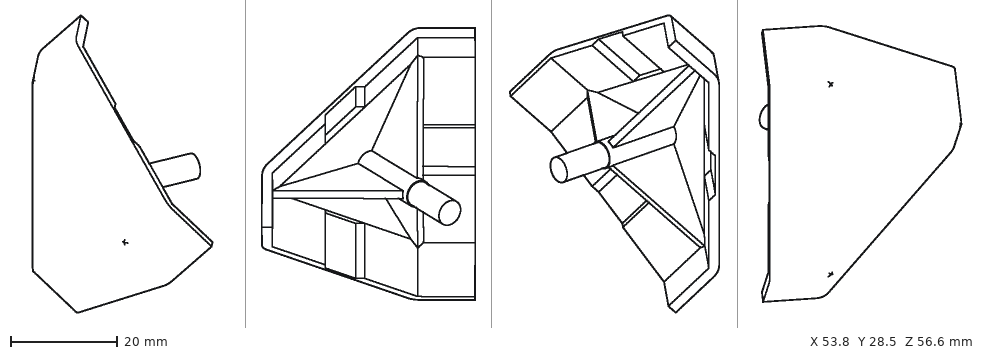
import cadquery as cq
import math

height = 56.55
width = 53.75
wall = 2.0
bend_radius = 3.5
tip_radius = height / math.sqrt(3)
flap_reach = width - tip_radius
triangle_inradius = tip_radius - flap_reach
flap_tilt = math.atan(math.sqrt(0.5))
flap_length = (flap_reach - triangle_inradius) / math.cos(flap_tilt)

recess_depth = 1.25
recess_mouth = 10.45
recess_floor = 8.05

stem_length = 28.5
stem_diameter = 5.0
collar_diameter = 5.3
collar_end = 18.2
rib_height = 16.85
rib_thickness = 1.6

corner_angles = (0, 120, 240)
root = wall / 2
block_size = 226.3
stock_size = block_size / 2


def radial(angle):
    """Unit vector in the XZ plane, measured from +X toward +Z."""
    return cq.Vector(math.cos(math.radians(angle)), 0, math.sin(math.radians(angle)))


def cube_axis(angle):
    """Outward normal of the cube face at one corner of the triangle."""
    return radial(angle) * math.cos(flap_tilt) - cq.Vector(0, math.sin(flap_tilt), 0)


def flap_normal(angle):
    """Outward normal of the side flap opposite one corner of the triangle."""
    return radial(angle) * -math.sin(flap_tilt) - cq.Vector(0, math.cos(flap_tilt), 0)


def clip(body, point, normal):
    """Remove everything beyond a plane on the side its normal points to."""
    block = cq.Workplane(cq.Plane(origin=point, normal=normal)).rect(block_size, block_size)
    return body.cut(block.extrude(block_size))


def bevelled_corner(inset):
    """Solid bounded by the seven shell faces, each moved inward by inset."""
    body = cq.Workplane("XY").box(stock_size, stock_size, stock_size)
    body = clip(body, cq.Vector(0, inset, 0), cq.Vector(0, -1, 0))
    for angle in corner_angles:
        flap = flap_normal(angle)
        face = cube_axis(angle)
        body = clip(body, radial(angle) * -triangle_inradius - flap * inset, flap)
        body = clip(body, radial(angle) * (2 * triangle_inradius) - face * inset, face)
    return body


def trim(body):
    """Cut the free edges square to the flaps."""
    for angle in corner_angles:
        axis = cube_axis(angle)
        body = clip(body, radial(angle) * -triangle_inradius - axis * flap_length, axis * -1)
    return body


def rounded_wedge(point, normal_a, normal_b):
    """Two half-spaces meeting in one rounded bend that passes through point."""
    bend = normal_a.cross(normal_b).normalized()
    middle = (normal_a + normal_b).normalized()
    half_angle = normal_a.getAngle(normal_b) / 2
    reach = block_size / 2
    plane = cq.Plane(origin=point - bend * reach, xDir=middle, normal=bend)
    bisector_gap = bend_radius / math.cos(half_angle)
    tangent_x = bend_radius * math.cos(half_angle) - bisector_gap
    tangent_y = bend_radius * math.sin(half_angle)
    crown_x = bend_radius - bisector_gap
    side_x = -reach * math.tan(half_angle)
    profile = (
        cq.Workplane(plane)
        .moveTo(tangent_x, -tangent_y)
        .threePointArc((crown_x, 0), (tangent_x, tangent_y))
        .lineTo(side_x, reach)
        .lineTo(-block_size, reach)
        .lineTo(-block_size, -reach)
        .lineTo(side_x, -reach)
        .close()
    )
    return profile.extrude(block_size)


def rounded_outside():
    """Outer solid whose bends run full length and meet in mitres at the corners."""
    body = bevelled_corner(0)
    for angle in corner_angles:
        flap = flap_normal(angle)
        body = body.intersect(rounded_wedge(radial(angle) * -triangle_inradius, cq.Vector(0, -1, 0), flap))
        for side in (-120, 120):
            corner = angle + side
            tip = radial(corner) * (2 * triangle_inradius)
            body = body.intersect(rounded_wedge(tip, flap, cube_axis(corner)))
    return body


def recess(angle):
    """Trapezoidal channel from the free edge of a flap to its inner fold."""
    normal = flap_normal(angle)
    axis = cube_axis(angle)
    start = radial(angle) * -triangle_inradius - axis * flap_length - normal * wall
    profile = cq.Workplane(cq.Plane(origin=start, xDir=axis.cross(normal), normal=axis))
    half_mouth = recess_mouth / 2
    half_floor = recess_floor / 2
    profile = profile.polyline([
        (-half_mouth, 0),
        (-half_floor, -recess_depth),
        (half_floor, -recess_depth),
        (half_mouth, 0),
    ]).close()
    return profile.extrude(flap_length - wall * math.tan(flap_tilt / 2))


def rib(angle):
    """Triangular web from the collar toward one corner, buried in the wall."""
    rib_start = collar_diameter / 2
    rib_end = rib_start + (rib_height - root) / math.tan(flap_tilt)
    web = (
        cq.Workplane("XY")
        .polyline([(0, root), (rib_end, root), (rib_start, rib_height), (0, rib_height)])
        .close()
        .extrude(rib_thickness / 2, both=True)
    )
    return web.rotate((0, 0, 0), (0, 1, 0), -angle).intersect(bevelled_corner(wall / 2))


def cylinder(diameter, end):
    """Round bar along +Y, starting inside the wall."""
    return cq.Workplane("XZ", origin=(0, root, 0)).circle(diameter / 2).extrude(root - end)


outside = trim(rounded_outside())
cavity = bevelled_corner(wall)
supports = cylinder(stem_diameter, stem_length).union(cylinder(collar_diameter, collar_end))
for angle in corner_angles:
    supports = supports.union(rib(angle))

shell = outside.cut(cavity)
for angle in corner_angles:
    shell = shell.cut(recess(angle))
result = shell.union(supports)